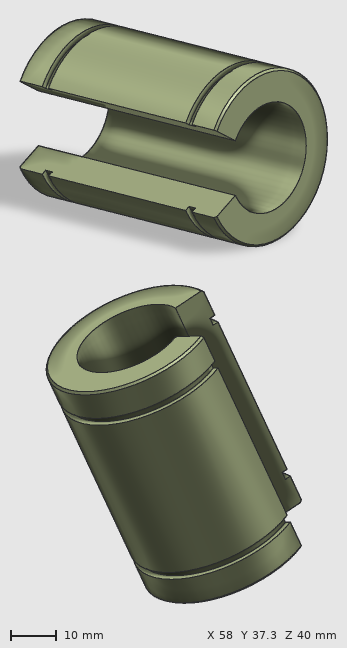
import cadquery as cq
import math

length = 58.0
outer_diameter = 40.0
bore_diameter = 25.0
opening_angle = 60.0

groove_diameter = 37.35
groove_width = 1.85
groove_span = 44.1

chamfer_length = 0.5
chamfer_depth = 0.5


def tube(outside, inside, start, width):
    """Ring around the X axis, starting at X = start."""
    return (
        cq.Workplane("YZ", origin=(start, 0, 0))
        .circle(outside / 2)
        .circle(inside / 2)
        .extrude(width)
    )


def opening_wedge():
    """Wedge with radial walls that opens the sleeve along its full length."""
    reach = outer_diameter
    half_width = reach * math.tan(math.radians(opening_angle / 2))
    return (
        cq.Workplane("YZ", origin=(-length / 2, 0, 0))
        .polyline([(0, 0), (-reach, half_width), (-reach, -half_width)])
        .close()
        .extrude(length)
    )


half_length = length / 2
outer_radius = outer_diameter / 2
bore_radius = bore_diameter / 2
sleeve = (
    cq.Workplane("XY")
    .moveTo(-half_length, bore_radius)
    .lineTo(-half_length, outer_radius - chamfer_depth)
    .lineTo(-half_length + chamfer_length, outer_radius)
    .lineTo(half_length - chamfer_length, outer_radius)
    .lineTo(half_length, outer_radius - chamfer_depth)
    .lineTo(half_length, bore_radius)
    .close()
    .revolve(360, (0, 0, 0), (1, 0, 0))
)

for groove_start in (-groove_span / 2, groove_span / 2 - groove_width):
    sleeve = sleeve.cut(tube(outer_diameter, groove_diameter, groove_start, groove_width))

result = sleeve.cut(opening_wedge())